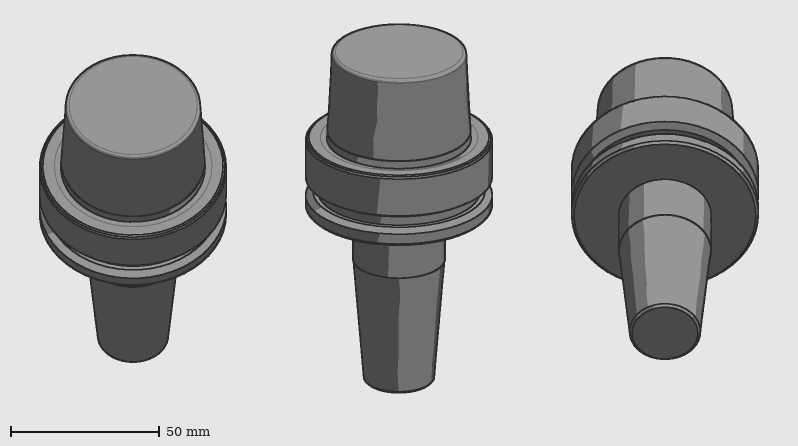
import cadquery as cq

total_length = 121.9
flange_top_depth = 31.9
flange_height = 26.0
flange_bottom_depth = flange_top_depth + flange_height

spigot_top_radius = 22.8
spigot_base_radius = 24.3
spigot_top_round = 1.2
spigot_taper_end_depth = 29.5
spigot_base_chamfer = 0.4

neck_radius = spigot_base_radius - spigot_base_chamfer
dish_inner_radius = 24.4
dish_outer_radius = 26.6
dish_depth = 0.4

flange_diameter = 63.0
flange_radius = flange_diameter / 2
rim_width = 1.1
rim_height = 1.0
rim_outer_bevel_width = 0.5
rim_inner_bevel_height = 0.4
flange_bottom_chamfer = 0.9
groove_radius = 27.4
groove_top_depth = 48.0
groove_bottom_depth = 51.9
groove_lip_height = 1.5
groove_lip_width = 2.4

shank_radius = 15.6
shank_end_depth = 77.2
nose_start_radius = 15.5
nose_radius = 12.0
nose_chamfer = 0.9


def half_profile():
    """Half section in the XZ plane, from the top of the axis to the nose."""
    lip_radius = flange_radius - groove_lip_width
    diagonal = 0.5 ** 0.5
    top_mid_radius = spigot_top_radius - spigot_top_round * (1 - diagonal)
    top_mid_depth = spigot_top_round * (1 - diagonal)
    return (
        cq.Workplane("XZ")
        .lineTo(spigot_top_radius - spigot_top_round, 0)
        .threePointArc((top_mid_radius, -top_mid_depth), (spigot_top_radius, -spigot_top_round))
        .lineTo(spigot_base_radius, -spigot_taper_end_depth)
        .lineTo(neck_radius, -spigot_taper_end_depth - spigot_base_chamfer)
        .lineTo(dish_inner_radius, -flange_top_depth - dish_depth)
        .lineTo(dish_outer_radius, -flange_top_depth)
        .lineTo(flange_radius - rim_width, -flange_top_depth)
        .lineTo(flange_radius - rim_outer_bevel_width, -flange_top_depth - rim_inner_bevel_height)
        .lineTo(flange_radius, -flange_top_depth - rim_height)
        .lineTo(flange_radius, -groove_top_depth + groove_lip_height)
        .lineTo(lip_radius, -groove_top_depth)
        .lineTo(groove_radius, -groove_top_depth)
        .lineTo(groove_radius, -groove_bottom_depth)
        .lineTo(lip_radius, -groove_bottom_depth)
        .lineTo(flange_radius, -groove_bottom_depth - groove_lip_height)
        .lineTo(flange_radius, -flange_bottom_depth + flange_bottom_chamfer)
        .lineTo(flange_radius - flange_bottom_chamfer, -flange_bottom_depth)
        .lineTo(shank_radius, -flange_bottom_depth)
        .lineTo(shank_radius, -shank_end_depth)
        .lineTo(nose_start_radius, -shank_end_depth)
        .lineTo(nose_radius, -total_length + nose_chamfer)
        .lineTo(nose_radius - nose_chamfer, -total_length)
        .lineTo(0, -total_length)
        .close()
    )


result = half_profile().revolve(360, (0, 0, 0), (0, 1, 0))